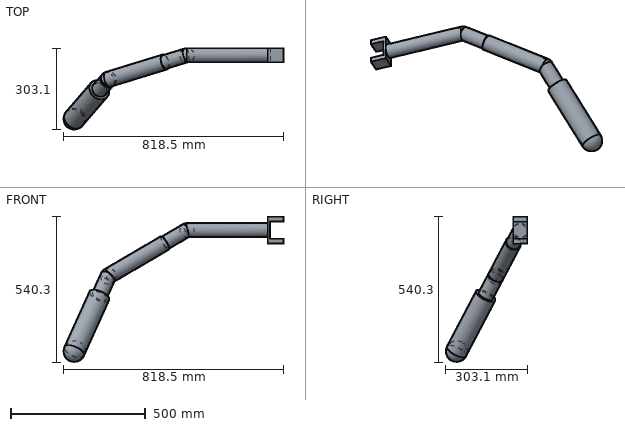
import cadquery as cq
import math

bracket_length = 59.9
bracket_width = 53.0
bracket_height = 100.0
bracket_web = 10.0
bracket_flange = 18.5

shoulder_radius = 26.5
elbow_radius = 29.2
grip_radius = 40.0

upper_length = 300.0
middle_length = 350.0
middle_step = 98.0
lower_length = 340.1
lower_step = 89.0

plane_tilt = math.radians(27.715)
middle_slope = math.radians(33.48)
lower_slope = math.radians(68.13)


def link_direction(slope):
    """Unit vector in the bending plane, dropping from -X by the given angle."""
    return cq.Vector(
        -math.cos(slope),
        -math.sin(slope) * math.sin(plane_tilt),
        -math.sin(slope) * math.cos(plane_tilt),
    )


upper_outward = cq.Vector(1, 0, 0)
middle_direction = link_direction(middle_slope)
lower_direction = link_direction(lower_slope)

shoulder_centre = cq.Vector(0, 0, 0)
elbow_centre = shoulder_centre + middle_direction * middle_length
tip_centre = elbow_centre + lower_direction * lower_length

bend_normal = middle_direction.cross(lower_direction)


def ball(centre, radius):
    """Full sphere at a joint or at the tip."""
    return cq.Workplane("XY").sphere(radius).translate(centre)


def socketed_bar(centre, direction, length, radius):
    """Round bar starting at a ball's centre, with a socket for the ball of equal radius."""
    mid_arc = radius * math.sqrt(0.5)
    return (
        cq.Workplane(cq.Plane(centre, xDir=direction, normal=bend_normal))
        .moveTo(radius, 0)
        .lineTo(length, 0)
        .lineTo(length, radius)
        .lineTo(0, radius)
        .threePointArc((mid_arc, mid_arc), (radius, 0))
        .close()
        .revolve(360, (0, 0), (1, 0))
    )


def mitred_bar(centre, direction, neighbour_direction, length, radius):
    """Socketed bar trimmed at the bisecting plane, so it clears its neighbour inside the bend."""
    mitre_plane = cq.Plane(centre, normal=direction - neighbour_direction)
    reach = length + radius
    kept_side = cq.Workplane(mitre_plane).rect(2 * reach, 2 * reach).extrude(reach)
    return socketed_bar(centre, direction, length, radius).intersect(kept_side)


def make_upper_arm():
    """Forked bracket with the upper tube standing on its web."""
    block = cq.Workplane("XY").box(
        bracket_length, bracket_width, bracket_height, centered=(False, True, True)
    )
    fork_gap = (
        cq.Workplane("XY")
        .box(
            bracket_length - bracket_web,
            bracket_width,
            bracket_height - 2 * bracket_flange,
            centered=(False, True, True),
        )
        .translate((bracket_web, 0, 0))
    )
    bracket = block.cut(fork_gap).translate((upper_length, 0, 0))
    tube = mitred_bar(
        shoulder_centre, upper_outward, middle_direction, upper_length, shoulder_radius
    )
    return bracket.union(tube)


upper_arm = make_upper_arm()
shoulder_ball = ball(shoulder_centre, shoulder_radius)

middle_tube = mitred_bar(
    shoulder_centre, middle_direction, upper_outward, middle_step, shoulder_radius
)
middle_sleeve = mitred_bar(
    elbow_centre, -middle_direction, lower_direction, middle_length - middle_step, elbow_radius
)
elbow_ball = ball(elbow_centre, elbow_radius)

lower_tube = mitred_bar(
    elbow_centre, lower_direction, -middle_direction, lower_step, elbow_radius
)
grip = socketed_bar(tip_centre, -lower_direction, lower_length - lower_step, grip_radius)
tip_ball = ball(tip_centre, grip_radius)

result = cq.Compound.makeCompound(
    [
        upper_arm.val(),
        shoulder_ball.val(),
        middle_tube.val(),
        middle_sleeve.val(),
        elbow_ball.val(),
        lower_tube.val(),
        grip.val(),
        tip_ball.val(),
    ]
)